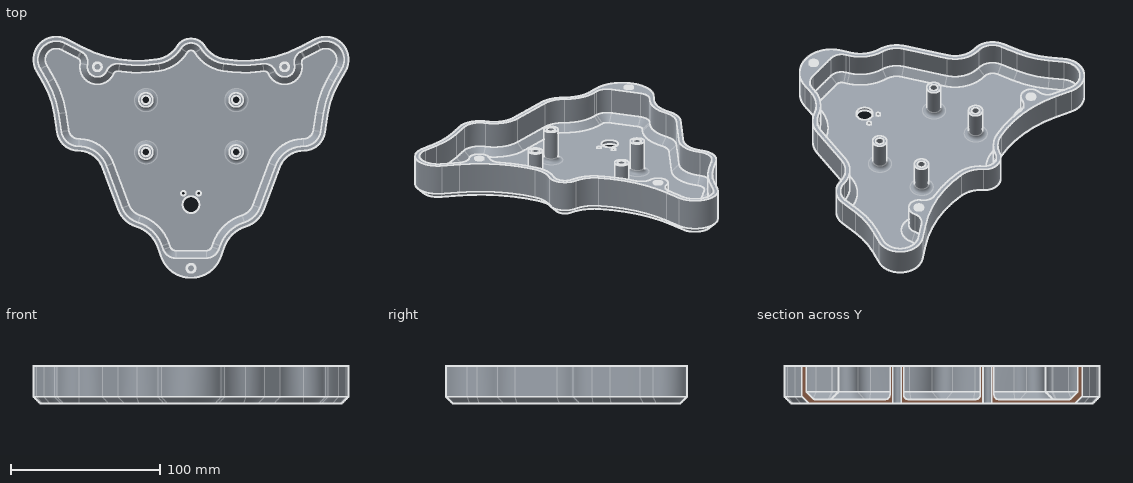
import cadquery as cq
import math

HEIGHT = 25.4
FLOOR_THICKNESS = 3
BOTTOM_CHAMFER = 4.7625

BUMP = (0, 68.6, 10.9)
EAR = (90.085, 65.345, 15.4)
SHOULDER = (75.1, 19.1, 14.8)
HIP = (30.7, -27.9, 19.45)
FOOT = (0, -59.495, 21.25)

BUMP_VALLEY_RADIUS = 18.9
BUMP_VALLEY_ANGLE = 31.8
BROW_RADIUS = 80.8
BROW_ANGLE = 80.6
EAR_VALLEY_CENTER = (148.3, 20.5)
EAR_VALLEY_RADIUS = 57.4
SHOULDER_VALLEY_RADIUS = 16.7
SHOULDER_VALLEY_ANGLE = -90
HIP_VALLEY_RADIUS = 21.8
HIP_VALLEY_ANGLE = -72.8

WALL = 3
CAVITY_CHAMFER = 5
CAVITY_END_Y = -67.5
CAVITY_END_CORNER_RADIUS = 9

BOSS_X = 62.6
BOSS_Y = 60.5
BOSS_RADIUS = 6.75
BOSS_FILLET = 8
BOSS_EDGE_REACH = BOSS_RADIUS + 1
FOOT_HOLE_Y = -74.3
THREAD_MAJOR_DIAMETER = 6.15
THREAD_MINOR_DIAMETER = 5.04
THREAD_PITCH = 1
THREAD_TURNS = 15

POST_SPACING_X = 60.4
POST_Y = (38.4, 3.5)
POST_DIAMETER = 9.5
POST_HOLE_DIAMETER = 5.5
POST_HEIGHT = HEIGHT - FLOOR_THICKNESS
POST_FILLET = 3

CABLE_HOLE_DIAMETER = 11.11
CABLE_HOLE_Y = -31.7
PIN_HOLE_DIAMETER = 3
PIN_SPACING = 10.16
PIN_Y = -24.1

TOUCHING = 1e-4


def polar(center, distance, degrees):
    angle = math.radians(degrees)
    return (center[0] + distance * math.cos(angle), center[1] + distance * math.sin(angle))


def valley_touching(lobe, degrees, radius):
    """Valley circle that touches a lobe from outside, in the given direction from the lobe."""
    x, y = polar(lobe, lobe[2] + radius, degrees)
    return (x, y, -radius)


def common_tangent(first, second):
    """End points of the tangent from one circle to the next; valleys have a negative radius."""
    dx = second[0] - first[0]
    dy = second[1] - first[1]
    offset = (second[2] - first[2]) / math.hypot(dx, dy)
    heading = math.atan2(dy, dx) + math.asin(max(-1, min(1, offset)))
    normal = math.degrees(heading) + 90
    return polar(first, first[2], normal), polar(second, second[2], normal)


def arc_middle(circle, start, end):
    """Point of the circle halfway along the short arc from start to end."""
    toward_x = (start[0] + end[0]) / 2 - circle[0]
    toward_y = (start[1] + end[1]) / 2 - circle[1]
    return polar(circle, abs(circle[2]), math.degrees(math.atan2(toward_y, toward_x)))


def half_outline_circles():
    """Lobes and valleys of the right half, from the bump at the back to the foot at the front."""
    bump_valley = valley_touching(BUMP, BUMP_VALLEY_ANGLE, BUMP_VALLEY_RADIUS)
    brow_x, brow_y = polar(bump_valley, BROW_RADIUS - BUMP_VALLEY_RADIUS, BROW_ANGLE)
    return [
        BUMP,
        bump_valley,
        (brow_x, brow_y, -BROW_RADIUS),
        EAR,
        (*EAR_VALLEY_CENTER, -EAR_VALLEY_RADIUS),
        SHOULDER,
        valley_touching(SHOULDER, SHOULDER_VALLEY_ANGLE, SHOULDER_VALLEY_RADIUS),
        HIP,
        valley_touching(HIP, HIP_VALLEY_ANGLE, HIP_VALLEY_RADIUS),
        FOOT,
    ]


def body_outline():
    """Closed outline of arcs, joined by tangent lines where neighbouring arcs do not touch."""
    right = half_outline_circles()
    left = [(-x, y, radius) for x, y, radius in right[-2:0:-1]]
    circles = right + left
    count = len(circles)
    tangents = [common_tangent(circles[i], circles[(i + 1) % count]) for i in range(count)]
    position = tangents[-1][1]
    outline = cq.Workplane("XY").moveTo(*position)
    for circle, (leave, arrive) in zip(circles, tangents):
        outline = outline.threePointArc(arc_middle(circle, position, leave), leave)
        position = leave
        if math.dist(leave, arrive) > TOUCHING:
            outline = outline.lineTo(*arrive)
            position = arrive
    return outline.close()


def body():
    """Solid block of the outline with a chamfered bottom edge."""
    return body_outline().extrude(HEIGHT).faces("<Z").edges().chamfer(BOTTOM_CHAMFER)


def vertical_edges_near(solid, x, y, reach):
    """Vertical edges of a solid inside a square column around a point."""
    column = cq.selectors.BoxSelector((x - reach, y - reach, -HEIGHT), (x + reach, y + reach, HEIGHT))
    return solid.edges("|Z").edges(column)


def cavity():
    """Pocket with a chamfered floor edge that leaves the wall, the solid foot and the bosses."""
    depth = HEIGHT - FLOOR_THICKNESS
    foot_size = 2 * FOOT[2]
    foot_block = cq.Workplane("XY").rect(foot_size, foot_size).extrude(depth)
    pocket = body_outline().offset2D(-WALL).extrude(depth)
    pocket = pocket.cut(foot_block.translate((0, CAVITY_END_Y - foot_size / 2, 0)))
    end_edges = cq.selectors.BoxSelector(
        (-FOOT[2], CAVITY_END_Y - TOUCHING, 0), (FOOT[2], CAVITY_END_Y + TOUCHING, depth)
    )
    pocket = pocket.edges("|Z").edges(end_edges).fillet(CAVITY_END_CORNER_RADIUS)
    for x in (-BOSS_X, BOSS_X):
        boss = cq.Workplane("XY").center(x, BOSS_Y).circle(BOSS_RADIUS).extrude(depth)
        pocket = pocket.cut(boss)
        pocket = vertical_edges_near(pocket, x, BOSS_Y, BOSS_EDGE_REACH).fillet(BOSS_FILLET)
    pocket = pocket.faces("<Z").edges().chamfer(CAVITY_CHAMFER)
    return pocket.translate((0, 0, FLOOR_THICKNESS))


def post(x, y):
    """Standoff with a filleted foot, standing on the floor and level with the rim."""
    radius = POST_DIAMETER / 2
    foot_radius = radius + POST_FILLET
    arc_offset = POST_FILLET * (1 - math.sqrt(0.5))
    profile = (
        cq.Workplane("XZ")
        .lineTo(foot_radius, 0)
        .threePointArc((radius + arc_offset, arc_offset), (radius, POST_FILLET))
        .lineTo(radius, POST_HEIGHT)
        .lineTo(0, POST_HEIGHT)
        .close()
    )
    return profile.revolve(360, (0, 0, 0), (0, 1, 0)).translate((x, y, FLOOR_THICKNESS))


def through_holes(points, diameter):
    """Full-height cylinders that drill a hole at each point."""
    return cq.Workplane("XY").pushPoints(points).circle(diameter / 2).extrude(HEIGHT)


def threaded_hole(x, y):
    """Blind hole from the top face; ring-shaped V grooves stand in for the turns of the thread."""
    major = THREAD_MAJOR_DIAMETER / 2
    minor = THREAD_MINOR_DIAMETER / 2
    profile = cq.Workplane("XZ").moveTo(0, HEIGHT).lineTo(major, HEIGHT)
    for turn in range(THREAD_TURNS):
        z = HEIGHT - turn * THREAD_PITCH
        profile = profile.lineTo(minor, z - THREAD_PITCH / 2).lineTo(major, z - THREAD_PITCH)
    profile = profile.lineTo(0, HEIGHT - THREAD_TURNS * THREAD_PITCH).close()
    return profile.revolve(360, (0, 0, 0), (0, 1, 0)).translate((x, y, 0))


post_points = [(x, y) for x in (-POST_SPACING_X / 2, POST_SPACING_X / 2) for y in POST_Y]
pin_points = [(-PIN_SPACING / 2, PIN_Y), (PIN_SPACING / 2, PIN_Y)]
thread_points = [(-BOSS_X, BOSS_Y), (BOSS_X, BOSS_Y), (0, FOOT_HOLE_Y)]

result = body().cut(cavity())
for x, y in post_points:
    result = result.union(post(x, y))
result = result.cut(through_holes(post_points, POST_HOLE_DIAMETER))
result = result.cut(through_holes(pin_points, PIN_HOLE_DIAMETER))
result = result.cut(through_holes([(0, CABLE_HOLE_Y)], CABLE_HOLE_DIAMETER))
for x, y in thread_points:
    result = result.cut(threaded_hole(x, y))